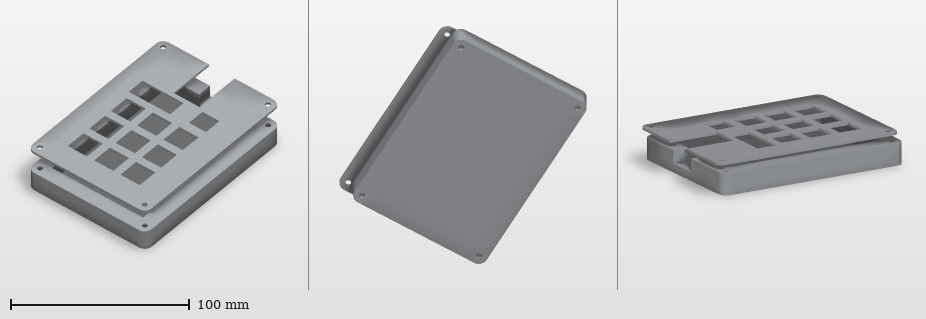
import cadquery as cq

WIDTH = 85.9
LENGTH = 119.1
CORNER_RADIUS = 5.0
SCREW_HOLE_DIAMETER = 3.4

HOUSING_HEIGHT = 13.0
SIDE_WALL = 10.0
END_WALL = 9.5
FLOOR_THICKNESS = 3.0

CABLE_NOTCH_LEFT = 34.6
CABLE_NOTCH_WIDTH = 18.8
CABLE_NOTCH_FLOOR = 5.3

PLATE_THICKNESS = 1.5
PLATE_SHIFT_X = -5.3
PLATE_SHIFT_Y = 6.3
PLATE_GAP = 6.9

KEY_SIZE = 13.9
KEY_PITCH = 19.0
KEY_COLUMNS = 3
KEY_ROWS = 3
FIRST_KEY_CENTER_X = 23.3
FIRST_KEY_CENTER_Y = 22.8

DISPLAY_LEFT = 13.9
DISPLAY_BOTTOM = 72.9
DISPLAY_WIDTH = 29.8
DISPLAY_LENGTH = 12.0

KNOB_LEFT = 56.5
KNOB_BOTTOM = 74.0
KNOB_WIDTH = 12.3
KNOB_LENGTH = 11.9

PLATE_NOTCH_LEFT = 34.0
PLATE_NOTCH_WIDTH = 18.7
PLATE_NOTCH_BOTTOM = 88.0


def block(left, bottom, low, width, length, height):
    """Box placed by its lower left bottom corner."""
    return cq.Workplane("XY").box(width, length, height, centered=False).translate((left, bottom, low))


def rounded_slab(thickness):
    """Rounded rectangle with a screw hole concentric with each corner."""
    slab = block(0, 0, 0, WIDTH, LENGTH, thickness).edges("|Z").fillet(CORNER_RADIUS)
    near, right, back = CORNER_RADIUS, WIDTH - CORNER_RADIUS, LENGTH - CORNER_RADIUS
    centers = [(near, near), (right, near), (near, back), (right, back)]
    holes = cq.Workplane("XY").pushPoints(centers).circle(SCREW_HOLE_DIAMETER / 2).extrude(thickness)
    return slab.cut(holes)


def make_housing():
    """Tray with an open top and a cable notch in its back wall."""
    cavity = block(
        SIDE_WALL, END_WALL, FLOOR_THICKNESS,
        WIDTH - 2 * SIDE_WALL, LENGTH - 2 * END_WALL, HOUSING_HEIGHT - FLOOR_THICKNESS,
    )
    cable_notch = block(
        CABLE_NOTCH_LEFT, LENGTH - END_WALL, CABLE_NOTCH_FLOOR,
        CABLE_NOTCH_WIDTH, END_WALL, HOUSING_HEIGHT - CABLE_NOTCH_FLOOR,
    )
    return rounded_slab(HOUSING_HEIGHT).cut(cavity).cut(cable_notch)


def plate_opening(left, bottom, width, length):
    """Cutter for a rectangular opening through the plate."""
    return block(left, bottom, 0, width, length, PLATE_THICKNESS)


def make_plate():
    """Thin cover with openings for keys, display and knob, and a notch in its back edge."""
    plate = rounded_slab(PLATE_THICKNESS)
    for column in range(KEY_COLUMNS):
        for row in range(KEY_ROWS):
            left = FIRST_KEY_CENTER_X + column * KEY_PITCH - KEY_SIZE / 2
            bottom = FIRST_KEY_CENTER_Y + row * KEY_PITCH - KEY_SIZE / 2
            plate = plate.cut(plate_opening(left, bottom, KEY_SIZE, KEY_SIZE))
    plate = plate.cut(plate_opening(DISPLAY_LEFT, DISPLAY_BOTTOM, DISPLAY_WIDTH, DISPLAY_LENGTH))
    plate = plate.cut(plate_opening(KNOB_LEFT, KNOB_BOTTOM, KNOB_WIDTH, KNOB_LENGTH))
    notch_length = LENGTH - PLATE_NOTCH_BOTTOM
    plate = plate.cut(plate_opening(PLATE_NOTCH_LEFT, PLATE_NOTCH_BOTTOM, PLATE_NOTCH_WIDTH, notch_length))
    return plate.translate((PLATE_SHIFT_X, PLATE_SHIFT_Y, HOUSING_HEIGHT + PLATE_GAP))


housing = make_housing()
plate = make_plate()

result = cq.Compound.makeCompound([housing.val(), plate.val()])